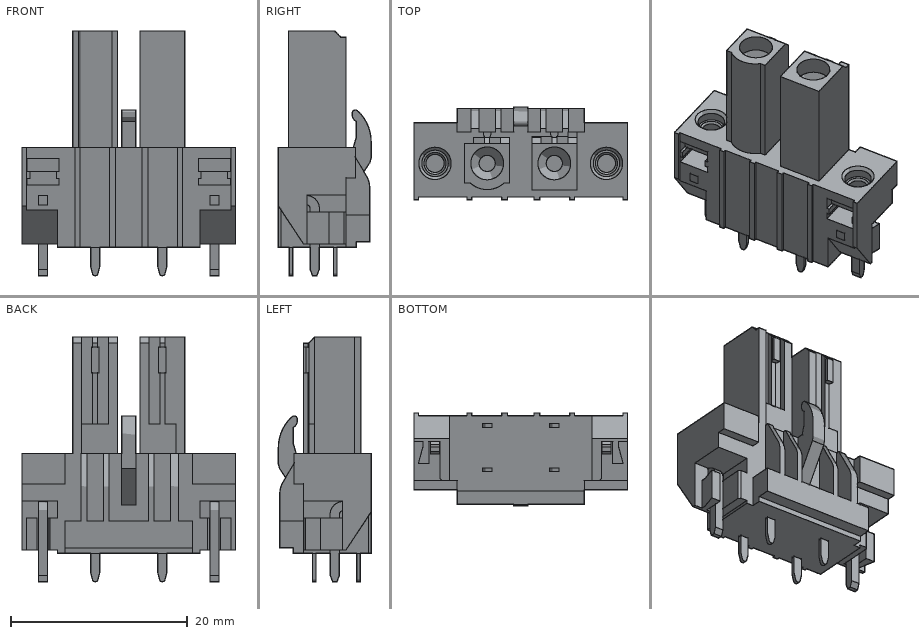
import cadquery as cq
import math


total_height = 27.75
housing_length = 24.22
housing_top = 14.54
housing_bottom = 3.22
pole_x = 3.8
flange_x = 9.7

front_wall_y = -3.83
rib_height = 0.3
rib_face_y = front_wall_y - rib_height
rear_wall_y = 3.55

body_half = 8.07
flange_bottom = 3.58
flange_rear_y = 4.6
overhang_bottom = 11.1
end_half = housing_length / 2
end_rib_width = 0.55
front_ribs = [(1.83, 0.67), (5.83, 0.55)]
bevel_top_z = 7.93
bevel_bottom_y = -1.25

rail_half = 7.2
rail_rear_y = 6.25
rail_top = 6.9
rail_step_y = 4.72
rail_step_z = 3.85
gusset_spans = [(-5.63, -4.72), (-2.88, -2.25), (2.25, 2.88), (4.72, 5.4)]
gusset_top_y = 3.95
gusset_low_z = 10.68
gusset_round = 2.5

latch_width = 1.6
latch_root_z = 8.7
latch_back_y = 6.4
latch_heel_low = (6.27, 12.85)
latch_heel_high = (latch_back_y, 13.37)
latch_back_low = (latch_back_y, 15.17)
latch_back_high = (5.25, 18.3)
latch_tip_back = (4.83, 18.72)
latch_tip_corner = (4.45, 18.75)
latch_tip_front = (4.25, 18.5)
latch_hook_front = (4.25, 18.1)
latch_hook_corner = (4.4, 17.73)
latch_throat_high = (4.7, 17.48)
latch_throat_low = (4.7, 15.65)
latch_foot_y = 4.35

tower_half = 2.55
tower_rear_y = 2.27
tower_front_y = -3.0
round_tower_shoulder_y = -2.22
round_tower_bulge = 0.75
round_tower_bulge_half = 1.91
pad_y = 2.95
square_tower_pad_y = 3.02
pad_bevel = 0.7
pad_inner = 1.53
web_half = 0.28
pad_shelf_z = 17.86
barb_half = 0.42
barb_neck_y = 3.25
barb_bottom = 23.65
barb_top = 26.57
socket_radius = 1.85
socket_floor_radius = 0.92
socket_depth = 1.95

recess_top = 9.15
recess_front_y = -0.85
guide_top = 7.25
arm_inner_x = 10.4
arm_neck_x = 11.1
arm_neck_y = -0.22
hook_front_x = 11.15
hook_front_y = -0.03
hook_rear_x = 11.6
hook_rear_y = 1.6
block_outer_x = 9.15
block_bevel = 0.25

slot_half = 1.8
slot_bottom = 10.25
slot_top = 13.25
ledge_bottom = 11.05
ledge_top = 11.8
ledge_width = 0.3
nut_half_depth = 2.83
screw_hole_radius = 1.5
screw_hole_chamfer = 0.33
thread_radius = 1.03
thread_chamfer = 0.22
countersink_angle = 90.0

pin_width = 1.05
pin_tail_z = 8.05
bend_radius = 0.42
flange_tip_half = 0.25
flange_tip_z = 0.72
blade_thickness = 0.42
blade_rows = (2.33, -2.7)
blade_insertion = 2.22
blade_taper_z = 1.03
blade_tip_half = 0.33
blade_round_z = 0.3


def box(x0, x1, y0, y1, z0, z1):
    return cq.Workplane("XY").box(x1 - x0, y1 - y0, z1 - z0, centered=False).translate((x0, y0, z0))


def side_plate(outline, x0, x1):
    """A (y, z) outline extruded from x0 to x1."""
    return cq.Workplane("YZ").polyline(outline).close().extrude(x1 - x0).translate((x0, 0, 0))


def make_flange_pin(x):
    """Square pin that rises from its tapered tip and bends forward to the front wall."""
    half = pin_width / 2
    outer = bend_radius + pin_width
    top = pin_tail_z + pin_width
    bend_y = -half - bend_radius
    bend_z = pin_tail_z - bend_radius
    diagonal = math.sqrt(0.5)
    outline = (
        cq.Workplane("YZ")
        .moveTo(-flange_tip_half, 0)
        .lineTo(flange_tip_half, 0)
        .lineTo(half, flange_tip_z)
        .lineTo(half, bend_z)
        .threePointArc((bend_y + outer * diagonal, bend_z + outer * diagonal), (bend_y, top))
        .lineTo(front_wall_y, top)
        .lineTo(front_wall_y, pin_tail_z)
        .lineTo(bend_y, pin_tail_z)
        .threePointArc(
            (bend_y + bend_radius * diagonal, bend_z + bend_radius * diagonal), (-half, bend_z)
        )
        .lineTo(-half, flange_tip_z)
        .close()
    )
    return outline.extrude(half, both=True).translate((x, 0, 0))


def make_contact_pin(x, y):
    """Flat blade with a tapered, rounded tip."""
    half = pin_width / 2
    top = housing_bottom + blade_insertion
    outline = (
        cq.Workplane("XZ")
        .moveTo(-half, top)
        .lineTo(-half, blade_taper_z)
        .lineTo(-blade_tip_half, blade_round_z)
        .threePointArc((0, 0), (blade_tip_half, blade_round_z))
        .lineTo(half, blade_taper_z)
        .lineTo(half, top)
        .close()
    )
    return outline.extrude(blade_thickness / 2, both=True).translate((x, y, 0))


def make_nut(x):
    """Flat nut with a countersunk hole, resting on the ledges of its slot."""
    nut = box(-slot_half, slot_half, -nut_half_depth, nut_half_depth, ledge_top, slot_top)
    nut = nut.faces(">Z").workplane(origin=(0, 0, 0)).cskHole(
        2 * thread_radius, 2 * (thread_radius + thread_chamfer), countersink_angle
    )
    return nut.translate((x, 0, 0))


def make_main_block():
    body = box(-body_half, body_half, front_wall_y, rear_wall_y, housing_bottom, housing_top)
    for distance, width in front_ribs:
        for x in (-distance, distance):
            body = body.union(
                box(x - width / 2, x + width / 2, rib_face_y, front_wall_y, housing_bottom, housing_top)
            )
    return body


def make_flange():
    """Right-hand flange with its end rib, rear overhang, front bevel and pin recess."""
    flange = box(body_half, end_half, front_wall_y, rear_wall_y, flange_bottom, housing_top)
    flange = flange.union(
        box(end_half - end_rib_width, end_half, rib_face_y, front_wall_y, flange_bottom, housing_top)
    )
    flange = flange.union(
        box(rail_half, end_half, rear_wall_y, flange_rear_y, overhang_bottom, housing_top)
    )
    bevel = [(bevel_bottom_y, flange_bottom), (rib_face_y, flange_bottom), (rib_face_y, bevel_top_z)]
    flange = flange.cut(side_plate(bevel, body_half, end_half))
    flange = flange.cut(
        box(body_half, end_half, recess_front_y, rear_wall_y, flange_bottom, recess_top)
    )
    return flange.union(make_pin_guides())


def make_pin_guides():
    """Arm and block that stand on either side of the right-hand flange pin."""
    arm = [
        (arm_inner_x, recess_front_y),
        (arm_neck_x, recess_front_y),
        (arm_neck_x, arm_neck_y),
        (hook_front_x, hook_front_y),
        (hook_rear_x, hook_rear_y),
        (arm_inner_x, hook_rear_y),
    ]
    block = [
        (body_half, recess_front_y),
        (block_outer_x, recess_front_y),
        (block_outer_x, rear_wall_y - block_bevel),
        (block_outer_x - block_bevel, rear_wall_y),
        (body_half, rear_wall_y),
    ]
    base = cq.Workplane("XY").workplane(offset=flange_bottom)
    height = guide_top - flange_bottom
    guides = base.polyline(arm).close().extrude(height)
    return guides.union(base.polyline(block).close().extrude(height))


def make_nut_slot(x):
    """Slot from the front wall with a ledge on each side, and the screw hole above it."""
    slot = box(-slot_half, slot_half, front_wall_y, nut_half_depth, slot_bottom, slot_top)
    inner = slot_half - ledge_width
    for x0, x1 in ((-slot_half, -inner), (inner, slot_half)):
        slot = slot.cut(box(x0, x1, front_wall_y, nut_half_depth, ledge_bottom, ledge_top))
    hole = (
        cq.Workplane("XY").workplane(offset=slot_top)
        .circle(screw_hole_radius).extrude(housing_top - slot_top)
    )
    rim = cq.Workplane(
        cq.Solid.makeCone(
            screw_hole_radius,
            screw_hole_radius + screw_hole_chamfer,
            screw_hole_chamfer,
            pnt=cq.Vector(0, 0, housing_top - screw_hole_chamfer),
        )
    )
    return slot.union(hole).union(rim).translate((x, 0, 0))


def make_rear_rail():
    rail = [
        (rear_wall_y, housing_bottom),
        (rail_step_y, housing_bottom),
        (rail_step_y, rail_step_z),
        (rail_rear_y, rail_step_z),
        (rail_rear_y, rail_top),
        (rear_wall_y, rail_top),
    ]
    return side_plate(rail, -rail_half, rail_half)


def make_gusset(x0, x1):
    """Rib that stands on the rail and slopes up to the top of the housing."""
    outline = [
        (rear_wall_y, rail_top),
        (rail_rear_y, rail_top),
        (rail_rear_y, gusset_low_z),
        (gusset_top_y, housing_top),
        (rear_wall_y, housing_top),
    ]
    corner = cq.selectors.NearestToPointSelector(((x0 + x1) / 2, rail_rear_y, gusset_low_z))
    return side_plate(outline, x0, x1).edges(corner).fillet(gusset_round)


def make_latch():
    """Curved finger that leans out from the rear wall and hooks forward at its tip."""
    outline = (
        cq.Workplane("YZ")
        .moveTo(rear_wall_y, latch_root_z)
        .lineTo(*latch_heel_low)
        .lineTo(*latch_heel_high)
        .lineTo(*latch_back_low)
        .tangentArcPoint(latch_back_high, relative=False)
        .lineTo(*latch_tip_back)
        .threePointArc(latch_tip_corner, latch_tip_front)
        .lineTo(*latch_hook_front)
        .threePointArc(latch_hook_corner, latch_throat_high)
        .lineTo(*latch_throat_low)
        .lineTo(latch_foot_y, housing_top)
        .lineTo(rear_wall_y, housing_top)
        .close()
    )
    return outline.extrude(latch_width / 2, both=True)


def make_tower_back(pads, back_y):
    """Bevelled pads on the back of a tower, the web beside them and the shelf under the pockets."""
    bevel_z = total_height - pad_bevel
    bevel = [(tower_rear_y, bevel_z), (pad_y, bevel_z), (tower_rear_y, total_height)]
    back = box(-pad_inner, pad_inner, tower_rear_y, back_y, housing_top, pad_shelf_z)
    blocks = [(-web_half, web_half, pad_y)]
    blocks += [(x0, x1, back_y) for x0, x1 in pads]
    for x0, x1, rear_y in blocks:
        back = back.union(box(x0, x1, tower_rear_y, rear_y, housing_top, bevel_z))
        back = back.union(side_plate(bevel, x0, x1))
    return back.union(make_barb())


def make_barb():
    """Head on the back of the web, wider than the web and flared out from it."""
    outline = [
        (-web_half, pad_y),
        (web_half, pad_y),
        (barb_half, barb_neck_y),
        (barb_half, rear_wall_y),
        (-barb_half, rear_wall_y),
        (-barb_half, barb_neck_y),
    ]
    base = cq.Workplane("XY").workplane(offset=barb_bottom)
    return base.polyline(outline).close().extrude(barb_top - barb_bottom)


def cut_socket(tower):
    """Round socket that narrows through a 45 degree cone to a flat floor."""
    cone_height = socket_radius - socket_floor_radius
    cone_top = total_height - socket_depth
    profile = (
        cq.Workplane("XZ")
        .moveTo(0, total_height)
        .lineTo(socket_radius, total_height)
        .lineTo(socket_radius, cone_top)
        .lineTo(socket_floor_radius, cone_top - cone_height)
        .lineTo(0, cone_top - cone_height)
        .close()
    )
    return tower.cut(profile.revolve(360, (0, 0, 0), (0, 1, 0)))


def make_round_tower():
    """Left tower, with a rounded front and a pad on the right only."""
    base = cq.Workplane("XY").workplane(offset=housing_top)
    tower = (
        base.moveTo(-tower_half, tower_rear_y)
        .lineTo(-tower_half, round_tower_shoulder_y)
        .lineTo(-round_tower_bulge_half, round_tower_shoulder_y)
        .threePointArc(
            (0, round_tower_shoulder_y - round_tower_bulge),
            (round_tower_bulge_half, round_tower_shoulder_y),
        )
        .lineTo(tower_half, round_tower_shoulder_y)
        .lineTo(tower_half, tower_rear_y)
        .close()
        .extrude(total_height - housing_top)
    )
    tower = tower.union(make_tower_back([(pad_inner, tower_half)], pad_y))
    return cut_socket(tower).translate((-pole_x, 0, 0))


def make_square_tower():
    """Right tower, with a pad on each side and a key rib behind the right pad."""
    tower = box(-tower_half, tower_half, tower_front_y, tower_rear_y, housing_top, total_height)
    pads = [(-tower_half, -pad_inner), (pad_inner, tower_half)]
    tower = tower.union(make_tower_back(pads, square_tower_pad_y))
    tower = tower.union(
        box(pad_inner, tower_half, pad_y, rear_wall_y, housing_top, total_height - pad_bevel)
    )
    return cut_socket(tower).translate((pole_x, 0, 0))


def make_housing(inserted):
    housing = make_main_block()
    flange = make_flange()
    parts = [flange, flange.mirror("YZ"), make_rear_rail(), make_latch()]
    parts += [make_round_tower(), make_square_tower()]
    parts += [make_gusset(x0, x1) for x0, x1 in gusset_spans]
    for part in parts:
        housing = housing.union(part)
    for x in (-flange_x, flange_x):
        housing = housing.cut(make_nut_slot(x))
    for body in inserted:
        housing = housing.cut(body)
    return housing


flange_pins = [make_flange_pin(x) for x in (-flange_x, flange_x)]
contact_pins = [make_contact_pin(x, y) for x in (-pole_x, pole_x) for y in blade_rows]
nuts = [make_nut(x) for x in (-flange_x, flange_x)]
housing = make_housing(flange_pins + contact_pins)

result = cq.Compound.makeCompound(
    [housing.val()] + [body.val() for body in flange_pins + contact_pins + nuts]
)